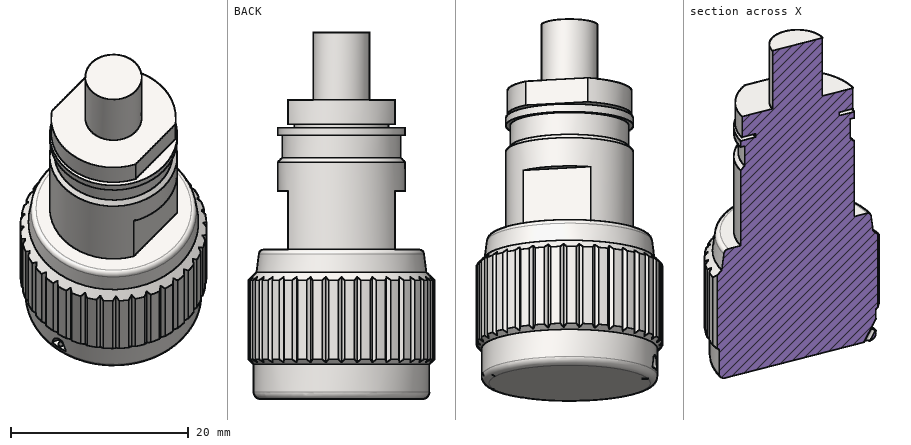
import cadquery as cq
import math

overall_height = 41.3
cable_radius = 3.2

clamp_top = 33.7
clamp_bottom = 30.95
clamp_radius = 7.02
neck_radius = 5.33

body_radius = 7.2
flange_top = 30.55
flange_bottom = 29.7
relief_radius = 6.7
relief_bottom = 27.18
body_flat_top = 23.4
flat_half_width = 6.05

coupling_top = 16.85
collar_top_radius = 9.25
collar_base_radius = 9.6
collar_fillet = 0.58
grip_radius = 10.5
grip_top = 13.4
grip_bottom = 4.5
skirt_radius = 9.9
skirt_fillet = 0.83

groove_count = 36
groove_depth = 0.37

wire_hole_slope = 60.0
wire_entry_height = 0.7
spot_face_radius = 1.0
spot_face_offset = 0.37
wire_hole_radius = 0.3
wire_hole_shift = 0.65

TINY_OVERLAP = 0.05
CUTTER_LENGTH = 4.95


def disc(radius, bottom, top):
    """Cylinder on the Z axis between two heights."""
    return cq.Workplane("XY").workplane(offset=bottom).circle(radius).extrude(top - bottom)


def flat_cutters(bottom, top):
    """Two blocks that leave parallel flats facing -X and +X."""
    block_width = body_radius
    center_x = flat_half_width + block_width / 2
    return (
        cq.Workplane("XY")
        .workplane(offset=bottom)
        .pushPoints([(-center_x, 0), (center_x, 0)])
        .rect(block_width, 3 * body_radius)
        .extrude(top - bottom)
    )


def make_coupling_nut():
    """Turned nut with 45 degree shoulders above and below the grip."""
    collar_base = grip_top + (grip_radius - collar_base_radius)
    skirt_top = grip_bottom - (grip_radius - skirt_radius)
    profile = [
        (0, 0),
        (skirt_radius, 0),
        (skirt_radius, skirt_top),
        (grip_radius, grip_bottom),
        (grip_radius, grip_top),
        (collar_base_radius, collar_base),
        (collar_top_radius, coupling_top),
        (0, coupling_top),
    ]
    nut = cq.Workplane("XZ").polyline(profile).close().revolve(360, (0, 0), (0, 1))
    nut = nut.faces(">Z").edges().fillet(collar_fillet)
    nut = nut.faces("<Z").edges().fillet(skirt_fillet)
    return nut.cut(make_grip_grooves(skirt_top, collar_base))


def make_grip_grooves(bottom, top):
    """Ring of 90 degree V-groove cutters."""
    root_radius = grip_radius - groove_depth
    mouth_half_width = 2 * groove_depth
    mouth_radius = root_radius + mouth_half_width
    cutter = (
        cq.Workplane("XY")
        .workplane(offset=bottom)
        .polyline([
            (root_radius, 0),
            (mouth_radius, mouth_half_width),
            (mouth_radius, -mouth_half_width),
        ])
        .close()
        .extrude(top - bottom)
    )
    pitch = 360 / groove_count
    cutters = [cutter.rotate((0, 0, 0), (0, 0, 1), i * pitch).val() for i in range(groove_count)]
    return cq.Workplane("XY").newObject([cq.Compound.makeCompound(cutters)])


def make_body():
    """Barrel with a relief groove below the flange and flats above the coupling nut."""
    barrel_top = relief_bottom - (body_radius - relief_radius)
    profile = [
        (0, coupling_top - TINY_OVERLAP),
        (body_radius, coupling_top - TINY_OVERLAP),
        (body_radius, barrel_top),
        (relief_radius, relief_bottom),
        (relief_radius, flange_bottom),
        (body_radius, flange_bottom),
        (body_radius, flange_top),
        (0, flange_top),
    ]
    body = cq.Workplane("XZ").polyline(profile).close().revolve(360, (0, 0), (0, 1))
    return body.cut(flat_cutters(coupling_top, body_flat_top))


def make_clamp():
    """Clamp nut with flats, its neck and the cable."""
    clamp = disc(clamp_radius, clamp_bottom, clamp_top).cut(flat_cutters(clamp_bottom, clamp_top))
    neck = disc(neck_radius, flange_top - TINY_OVERLAP, clamp_bottom + TINY_OVERLAP)
    cable = disc(cable_radius, clamp_top - TINY_OVERLAP, overall_height)
    return clamp.union(neck).union(cable)


def make_wire_hole():
    """Cutter for the spot face and the hole that leaves through the bottom edge."""
    slope = math.radians(wire_hole_slope)
    inward = cq.Vector(0, math.cos(slope), -math.sin(slope))
    entry = cq.Vector(0, -skirt_radius, wire_entry_height)
    floor_center = entry - inward * spot_face_offset
    along_floor = cq.Vector(0, math.sin(slope), math.cos(slope))
    hole_start = floor_center + along_floor * wire_hole_shift
    spot_face = cq.Solid.makeCylinder(spot_face_radius, CUTTER_LENGTH, floor_center, -inward)
    hole = cq.Solid.makeCylinder(wire_hole_radius, CUTTER_LENGTH, hole_start, inward)
    return cq.Workplane("XY").newObject([spot_face]).union(cq.Workplane("XY").newObject([hole]))


coupling_nut = make_coupling_nut().cut(make_wire_hole())
result = coupling_nut.union(make_body()).union(make_clamp())